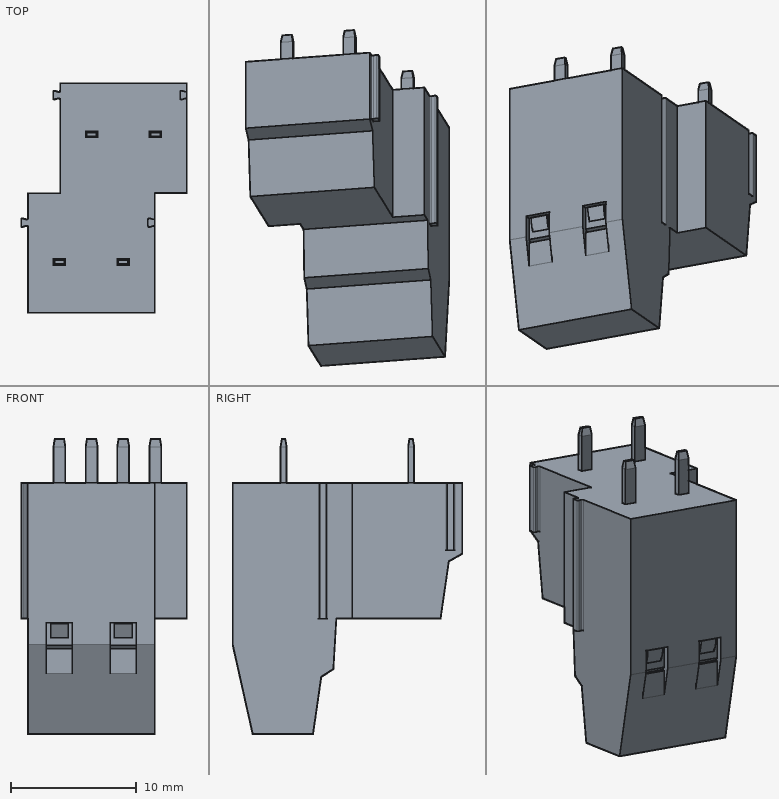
import cadquery as cq
import math

pin_pitch = 5.08
block_width = 10.1
pole_x_positions = (block_width / 2 - pin_pitch / 2, block_width / 2 + pin_pitch / 2)
tier_shift_x = 2.55
tier_shift_y = 2 * pin_pitch
tier_shift_z = 9.2
body_top = 20.0
total_height = 23.5
body_depth = 18.3
tier_joint_y = 9.55

slope_top_z = 7.15
bottom_front_y = 1.6
bottom_back_y = 6.42
notch_inner_y = 7.07
notch_inner_z = 4.55
notch_outer_z = 5.17
front_notch_outer_y = 8.04
front_back_wall_y = 8.27

rail_y = 7.2
rail_depth = 0.55
rail_head_width = 0.78
rail_neck_width = 0.45
rail_fillet = 0.1
rail_base_width = 1.18
rail_base_depth = 0.24
front_rail_bottom_z = tier_shift_z
rear_rail_bottom_z = 14.62

pin_y = 4.07
pin_width = 0.96
pin_thickness = 0.5
pin_tip_height = 0.6
pin_tip_width = 0.75
pin_tip_thickness = 0.28

window_width = 2.07
window_depth = 0.52
window_top_z = 8.88
nub_width = 1.4
nub_top_z = 8.8
nub_bottom_z = 7.65
nub_end_angle = 28.0
gap_top_z = 7.07
gap_bottom_z = 6.8
gap_depth = 0.33


def side_prism(points, x_start, width):
    """Extrude a closed (y, z) outline along +X."""
    outline = cq.Workplane("YZ", origin=(x_start, 0, 0)).polyline(points).close()
    return outline.extrude(width)


def make_front_block():
    points = [
        (0, slope_top_z),
        (bottom_front_y, 0),
        (bottom_back_y, 0),
        (notch_inner_y, notch_inner_z),
        (front_notch_outer_y, notch_outer_z),
        (front_back_wall_y, tier_shift_z),
        (tier_joint_y, tier_shift_z),
        (tier_joint_y, body_top),
        (0, body_top),
    ]
    return side_prism(points, 0, block_width)


def make_rear_block():
    points = [
        (tier_joint_y, tier_shift_z),
        (bottom_back_y + tier_shift_y, tier_shift_z),
        (notch_inner_y + tier_shift_y, notch_inner_z + tier_shift_z),
        (body_depth, notch_outer_z + tier_shift_z),
        (body_depth, body_top),
        (tier_joint_y, body_top),
    ]
    return side_prism(points, tier_shift_x, block_width)


def make_rail(face_x, center_y, bottom_z):
    """Rounded dovetail strip on the -X side of the plane x = face_x, with a base slab behind it."""
    half_head = rail_head_width / 2
    half_neck = rail_neck_width / 2
    half_base = rail_base_width / 2
    head_x = -rail_depth
    points = [
        (head_x, -half_head),
        (0, -half_neck),
        (0, -half_base),
        (rail_base_depth, -half_base),
        (rail_base_depth, half_base),
        (0, half_base),
        (0, half_neck),
        (head_x, half_head),
    ]
    outline = cq.Workplane("XY", origin=(face_x, center_y, bottom_z)).polyline(points).close()
    rail = outline.extrude(body_top - bottom_z)
    return rail.edges("|Z and (not >Y) and (not <Y)").fillet(rail_fillet)


def make_pin(x, y):
    """Rectangular pin with a tapered tip."""
    shank_height = total_height - body_top - pin_tip_height
    base = cq.Workplane("XY", origin=(x, y, body_top)).rect(pin_width, pin_thickness)
    shank = base.extrude(shank_height)
    tip = (
        shank.faces(">Z").workplane()
        .rect(pin_width, pin_thickness)
        .workplane(offset=pin_tip_height)
        .rect(pin_tip_width, pin_tip_thickness)
        .loft(combine=False)
    )
    return shank.union(tip)


def make_window_cut(center_x):
    """Shallow window that leaves a gap and a rounded nub in its back wall."""
    opening = cq.Workplane("XY").box(
        window_width, window_depth, window_top_z, centered=(True, False, False)
    ).translate((center_x, 0, 0))

    gap_points = [
        (window_depth, gap_bottom_z),
        (window_depth + gap_depth, gap_bottom_z),
        (window_depth, gap_top_z),
    ]
    gap = side_prism(gap_points, center_x - window_width / 2, window_width)

    end_angle = math.radians(nub_end_angle)
    nub_radius = (nub_top_z - nub_bottom_z) / math.sin(end_angle)
    nub_front_y = window_depth - nub_radius * (1 - math.cos(end_angle))
    arc_mid_y = nub_front_y + nub_radius * (1 - math.cos(end_angle / 2))
    arc_mid_z = nub_top_z - nub_radius * math.sin(end_angle / 2)
    nub = (
        cq.Workplane("YZ", origin=(center_x - nub_width / 2, 0, 0))
        .moveTo(window_depth, nub_top_z)
        .lineTo(nub_front_y, nub_top_z)
        .threePointArc((arc_mid_y, arc_mid_z), (window_depth, nub_bottom_z))
        .close()
        .extrude(nub_width)
    )
    return opening.union(gap).cut(nub)


tiers = [
    (0, 0, front_rail_bottom_z),
    (tier_shift_x, tier_shift_y, rear_rail_bottom_z),
]

result = make_front_block().union(make_rear_block())
for shift_x, shift_y, rail_bottom_z in tiers:
    result = result.union(make_rail(shift_x, rail_y + shift_y, rail_bottom_z))
    result = result.cut(make_rail(shift_x + block_width, rail_y + shift_y, rail_bottom_z))
    for pole_x in pole_x_positions:
        result = result.union(make_pin(pole_x + shift_x, pin_y + shift_y))

for pole_x in pole_x_positions:
    result = result.cut(make_window_cut(pole_x))